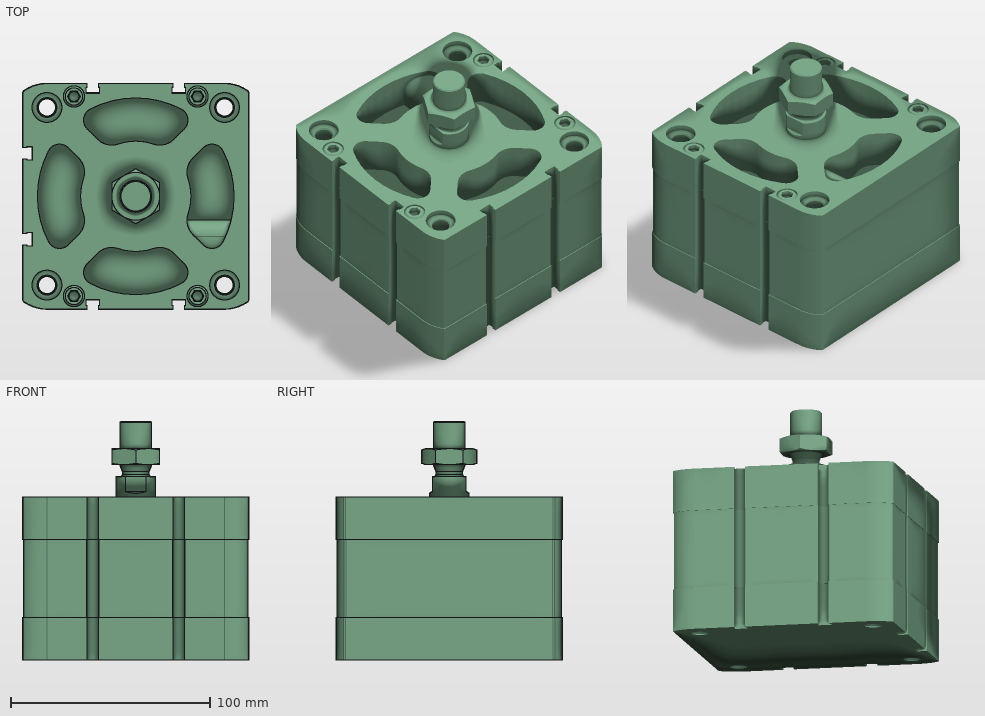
import cadquery as cq
import math

WIDTH = 113.5
HOUSING_HEIGHT = 82.0
CAP_HEIGHT = 21.3
BARREL_INSET = 0.4
CORNER_RADIUS = 20.0
CORNER_EDGE_RADIUS = 1.2

MOUNT_OFFSET = 44.6
MOUNT_DIAMETER = 8.6
MOUNT_CHAMFER_DIAMETER = 10.0
MOUNT_RECESS_DIAMETER = 15.0
MOUNT_RECESS_DEPTH = 3.0

SLOT_OFFSET = 21.6
SLOT_OPENING = 5.6
SLOT_INNER_WIDTH = 6.6
SLOT_LIP = 2.0
CAP_SLOT_DEPTH = 5.0
BARREL_SLOT_DEPTH = 4.7
SLOT_EDGE_CHAMFER = 0.4

POCKET_OUTER_RADIUS = 49.4
POCKET_INNER_RADIUS = 27.7
POCKET_DEPTH = 19.2
WEB_WIDTH = 13.4
POCKET_OUTER_ROUND = 6.2
POCKET_INNER_ROUND = 10.0

BOSS_AXIS_Y = -20.1
BOSS_RADIUS = 8.1
BOSS_TOP_DEPTH = 3.0

SCREW_X = 31.0
SCREW_Y = 50.1
SCREW_HEAD_DIAMETER = 10.7
SCREW_FACE_DIAMETER = 8.6
SOCKET_ACROSS_FLATS = 5.5
SOCKET_DEPTH = 3.0
DRILL_DIAMETER = 5.0
DRILL_POINT_ANGLE = 140

TOTAL_HEIGHT = 119.8
ROD_DIAMETER = 20.0
ROD_COLLAR_TOP = 92.1
ROD_FLATS = 17.0
FLAT_BOTTOM = 84.7
FLAT_RUNOUT = 1.0
NECK_DIAMETER = 13.5
NECK_BASE_DIAMETER = 14.4
NECK_BASE_HEIGHT = 1.0
NECK_TOP = 94.6
THREAD_DIAMETER = 16.0
THREAD_CHAMFER = 0.6

NUT_ACROSS_FLATS = 24.0
NUT_BOTTOM = 98.1
NUT_HEIGHT = 8.0
NUT_CHAMFER_ANGLE = 20

SIGNS = (-1, 1)
EDGE_MATCH = 0.1
CUT_MARGIN = 1.2


def housing_section(inset, bottom, height):
    """A length of the housing outline: flat sides, with corner arcs tangent to the Y sides only."""
    half = WIDTH / 2 - inset
    radius = CORNER_RADIUS - inset
    center = WIDTH / 2 - CORNER_RADIUS
    side_x = half
    side_y = center + math.sqrt(radius**2 - (side_x - MOUNT_OFFSET) ** 2)
    arc_angle = (math.pi / 2 + math.acos((side_x - MOUNT_OFFSET) / radius)) / 2
    mid_x = MOUNT_OFFSET + radius * math.cos(arc_angle)
    mid_y = center + radius * math.sin(arc_angle)
    outline = (
        cq.Workplane("XY", origin=(0, 0, bottom))
        .moveTo(side_x, -side_y)
        .lineTo(side_x, side_y)
        .threePointArc((mid_x, mid_y), (MOUNT_OFFSET, half))
        .lineTo(-MOUNT_OFFSET, half)
        .threePointArc((-mid_x, mid_y), (-side_x, side_y))
        .lineTo(-side_x, -side_y)
        .threePointArc((-mid_x, -mid_y), (-MOUNT_OFFSET, -half))
        .lineTo(MOUNT_OFFSET, -half)
        .threePointArc((mid_x, -mid_y), (side_x, -side_y))
        .close()
    )
    section = outline.extrude(height)
    side_edges = section.edges("|Z").filter(lambda edge: abs(edge.Center().x) > side_x - EDGE_MATCH)
    return side_edges.fillet(CORNER_EDGE_RADIUS)


def slot_cutter(inset, depth, chamfer, bottom, height):
    """A slot in the -Y side, seen as a T with its opening on the outside."""
    side = -WIDTH / 2
    face = side + inset
    opening = SLOT_OPENING / 2
    inner = SLOT_INNER_WIDTH / 2
    right_half = [
        (opening + chamfer, side - CUT_MARGIN),
        (opening + chamfer, face),
        (opening, face + chamfer),
        (opening, side + SLOT_LIP),
        (inner, side + SLOT_LIP),
        (inner, side + depth),
    ]
    if chamfer == 0:
        right_half.pop(1)
    left_half = [(-x, y) for x, y in reversed(right_half)]
    return cq.Workplane("XY", origin=(0, 0, bottom)).polyline(right_half + left_half).close().extrude(height)


def slotted_section(inset, depth, chamfer, bottom, height):
    """A housing section with two slots in each of the -X, -Y and +Y sides."""
    section = housing_section(inset, bottom, height)
    slot = slot_cutter(inset, depth, chamfer, bottom, height)
    for side_angle in (0, 180, 270):
        for sign in SIGNS:
            placed = slot.translate((sign * SLOT_OFFSET, 0, 0)).rotate((0, 0, 0), (0, 0, 1), side_angle)
            section = section.cut(placed)
    return section


def pocket_cutter():
    """The pocket on the +X side: a ring sector between two webs, with rounded corners."""
    half_web = WEB_WIDTH / 2

    def web_point(radius, sign):
        along = math.sqrt(radius**2 - half_web**2)
        return ((along + half_web) / math.sqrt(2), sign * (along - half_web) / math.sqrt(2))

    floor = HOUSING_HEIGHT - POCKET_DEPTH
    sector = (
        cq.Workplane("XY", origin=(0, 0, floor))
        .moveTo(*web_point(POCKET_INNER_RADIUS, -1))
        .lineTo(*web_point(POCKET_OUTER_RADIUS, -1))
        .threePointArc((POCKET_OUTER_RADIUS, 0), web_point(POCKET_OUTER_RADIUS, 1))
        .lineTo(*web_point(POCKET_INNER_RADIUS, 1))
        .threePointArc((POCKET_INNER_RADIUS, 0), web_point(POCKET_INNER_RADIUS, -1))
        .close()
        .extrude(POCKET_DEPTH)
    )
    split_x = web_point((POCKET_INNER_RADIUS + POCKET_OUTER_RADIUS) / 2, 1)[0]
    outer_edges = sector.edges("|Z").filter(lambda edge: edge.Center().x > split_x)
    rounded = outer_edges.fillet(POCKET_OUTER_ROUND)
    inner_corner_x = web_point(POCKET_INNER_RADIUS, 1)[0]
    inner_edges = rounded.edges("|Z").filter(lambda edge: abs(edge.Center().x - inner_corner_x) < EDGE_MATCH)
    return inner_edges.fillet(POCKET_INNER_ROUND)


def port_boss():
    """A block along X whose upper +Y edge is a quarter cylinder."""
    top = HOUSING_HEIGHT - BOSS_TOP_DEPTH
    floor = HOUSING_HEIGHT - POCKET_DEPTH
    diagonal = BOSS_RADIUS * math.sqrt(0.5)
    axis_z = top - BOSS_RADIUS
    outer_y = -WIDTH / 2
    return (
        cq.Workplane("YZ")
        .moveTo(outer_y, floor)
        .lineTo(BOSS_AXIS_Y + BOSS_RADIUS, floor)
        .lineTo(BOSS_AXIS_Y + BOSS_RADIUS, axis_z)
        .threePointArc((BOSS_AXIS_Y + diagonal, axis_z + diagonal), (BOSS_AXIS_Y, top))
        .lineTo(outer_y, top)
        .close()
        .extrude(WIDTH / 2)
    )


def mount_hole_cutter():
    """A through hole with a chamfer at the floor of a shallow round recess."""
    recess_floor = HOUSING_HEIGHT - MOUNT_RECESS_DEPTH
    chamfer = (MOUNT_CHAMFER_DIAMETER - MOUNT_DIAMETER) / 2
    profile = [
        (0, 0),
        (MOUNT_DIAMETER / 2, 0),
        (MOUNT_DIAMETER / 2, recess_floor - chamfer),
        (MOUNT_CHAMFER_DIAMETER / 2, recess_floor),
        (MOUNT_RECESS_DIAMETER / 2, recess_floor),
        (MOUNT_RECESS_DIAMETER / 2, HOUSING_HEIGHT),
        (0, HOUSING_HEIGHT),
    ]
    return cq.Workplane("XZ").polyline(profile).close().revolve(360, (0, 0, 0), (0, 1, 0))


def screw_cutter():
    """The chamfer ring around a screw head, and its hexagon socket with a drill point."""
    head = SCREW_HEAD_DIAMETER / 2
    face = SCREW_FACE_DIAMETER / 2
    ring_profile = [
        (face, HOUSING_HEIGHT),
        (head, HOUSING_HEIGHT),
        (head, HOUSING_HEIGHT - (head - face)),
    ]
    ring = cq.Workplane("XZ").polyline(ring_profile).close().revolve(360, (0, 0, 0), (0, 1, 0))
    socket_floor = HOUSING_HEIGHT - SOCKET_DEPTH
    socket = (
        cq.Workplane("XY", origin=(0, 0, socket_floor))
        .polygon(6, SOCKET_ACROSS_FLATS, circumscribed=True)
        .extrude(SOCKET_DEPTH)
        .rotate((0, 0, 0), (0, 0, 1), 30)
    )
    drill_radius = DRILL_DIAMETER / 2
    drill_depth = drill_radius / math.tan(math.radians(DRILL_POINT_ANGLE / 2))
    drill_profile = [(0, socket_floor - drill_depth), (drill_radius, socket_floor), (0, socket_floor)]
    drill_point = cq.Workplane("XZ").polyline(drill_profile).close().revolve(360, (0, 0, 0), (0, 1, 0))
    return ring, socket.union(drill_point)


def make_housing():
    barrel_height = HOUSING_HEIGHT - 2 * CAP_HEIGHT
    top_cap_bottom = HOUSING_HEIGHT - CAP_HEIGHT
    body = slotted_section(0, CAP_SLOT_DEPTH, 0, 0, CAP_HEIGHT)
    barrel = slotted_section(BARREL_INSET, BARREL_SLOT_DEPTH, SLOT_EDGE_CHAMFER, CAP_HEIGHT, barrel_height)
    body = body.union(barrel)
    body = body.union(slotted_section(0, CAP_SLOT_DEPTH, 0, top_cap_bottom, CAP_HEIGHT))

    pocket = pocket_cutter()
    body = body.cut(pocket.cut(port_boss()))
    for angle in (90, 180, 270):
        body = body.cut(pocket.rotate((0, 0, 0), (0, 0, 1), angle))

    mount_hole = mount_hole_cutter()
    screw_ring, screw_socket = screw_cutter()
    for x_sign in SIGNS:
        for y_sign in SIGNS:
            body = body.cut(mount_hole.translate((x_sign * MOUNT_OFFSET, y_sign * MOUNT_OFFSET, 0)))
            screw_place = (x_sign * SCREW_X, y_sign * SCREW_Y, 0)
            body = body.cut(screw_ring.translate(screw_place)).cut(screw_socket.translate(screw_place))

    rod_bore = cq.Workplane("XY", origin=(0, 0, top_cap_bottom)).circle(ROD_DIAMETER / 2).extrude(CAP_HEIGHT)
    return body.cut(rod_bore)


def make_piston_rod():
    """Turned rod with a thread end, a necked groove and two wrench flats facing -Y and +Y."""
    rod = ROD_DIAMETER / 2
    thread = THREAD_DIAMETER / 2
    neck = NECK_DIAMETER / 2
    rod_bottom = HOUSING_HEIGHT - CAP_HEIGHT
    profile = [
        (0, rod_bottom),
        (rod, rod_bottom),
        (rod, ROD_COLLAR_TOP),
        (NECK_BASE_DIAMETER / 2, ROD_COLLAR_TOP),
        (neck, ROD_COLLAR_TOP + NECK_BASE_HEIGHT),
        (neck, NECK_TOP),
        (thread, NUT_BOTTOM),
        (thread, TOTAL_HEIGHT - THREAD_CHAMFER),
        (thread - THREAD_CHAMFER, TOTAL_HEIGHT),
        (0, TOTAL_HEIGHT),
    ]
    body = cq.Workplane("XZ").polyline(profile).close().revolve(360, (0, 0, 0), (0, 1, 0))
    flat_profile = [
        (ROD_FLATS / 2, ROD_COLLAR_TOP),
        (ROD_FLATS / 2, FLAT_BOTTOM),
        (rod, FLAT_BOTTOM - FLAT_RUNOUT),
        (rod, ROD_COLLAR_TOP),
    ]
    flat = cq.Workplane("YZ").polyline(flat_profile).close().extrude(rod, both=True)
    return body.cut(flat).cut(flat.mirror("XZ"))


def make_nut():
    """Hexagon nut with flats facing -X and +X, chamfered on both faces."""
    prism = (
        cq.Workplane("XY", origin=(0, 0, NUT_BOTTOM))
        .polygon(6, NUT_ACROSS_FLATS, circumscribed=True)
        .extrude(NUT_HEIGHT)
    )
    face = NUT_ACROSS_FLATS / 2
    corner = face / math.cos(math.radians(30))
    drop = (corner - face) * math.tan(math.radians(NUT_CHAMFER_ANGLE))
    top = NUT_BOTTOM + NUT_HEIGHT
    chamfer_profile = [
        (0, NUT_BOTTOM),
        (face, NUT_BOTTOM),
        (corner, NUT_BOTTOM + drop),
        (corner, top - drop),
        (face, top),
        (0, top),
    ]
    envelope = cq.Workplane("XZ").polyline(chamfer_profile).close().revolve(360, (0, 0, 0), (0, 1, 0))
    bore = cq.Workplane("XY", origin=(0, 0, NUT_BOTTOM)).circle(THREAD_DIAMETER / 2).extrude(NUT_HEIGHT)
    return prism.intersect(envelope).cut(bore)


housing = make_housing()
piston_rod = make_piston_rod()
nut = make_nut()

result = cq.Compound.makeCompound([housing.val(), piston_rod.val(), nut.val()])